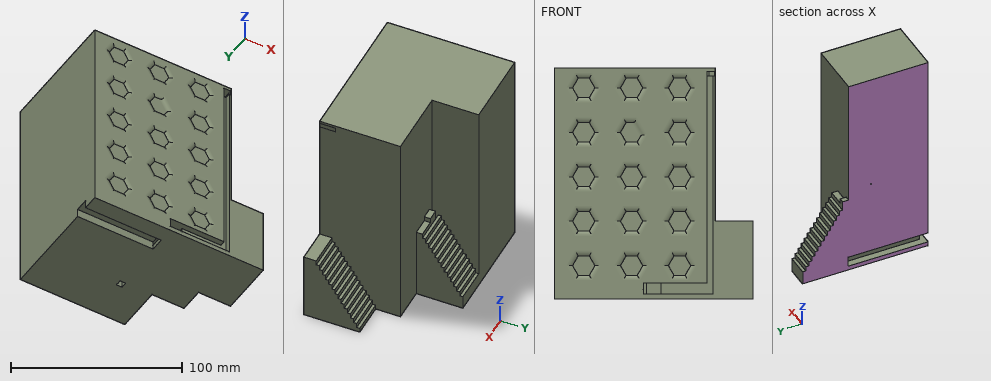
import cadquery as cq
import math

HEIGHT = 135.0
DEPTH = 82.0
BLOCK_WIDTH = 94.0
REAR_ARM_WIDTH = 50.0
FRONT_ARM_DEPTH = 52.0

STAIR_WIDTH = 22.0
SIDE_TREADS = 14
REAR_TREADS = 13
COMBINED_RUN = 54.0
TREAD = COMBINED_RUN / (SIDE_TREADS + REAR_TREADS)
SIDE_STAIR_DEPTH = 36.0
SIDE_LANDING_DEPTH = SIDE_STAIR_DEPTH - SIDE_TREADS * TREAD
LANDING_HEIGHT = 45.6
RISER = LANDING_HEIGHT / (SIDE_TREADS + 1)

REAR_LANDING_INNER_X = 53.7
REAR_LANDING_STEP_X = 60.9

HEX_COLUMNS = 3
HEX_ROWS = 5
HEX_PITCH_X = 28.0
HEX_PITCH_Z = 25.9
HEX_FIRST_X = 17.1
HEX_FIRST_Z = 19.6
HEX_SIDES = 6
HEX_RADIUS = 10.0
HEX_APOTHEM = HEX_RADIUS * math.cos(math.pi / HEX_SIDES)
HEX_DEPTH = 1.0
WALL_RADIUS = 5.0
FIRST_WALL_ANGLE = 30
ODD_COLUMN = 1
ODD_ROW = 3
ODD_SIDE = 0
ODD_WALL_SHIFT = 1.5

GROOVE_DEPTH = 3.5
GROOVE_START_X = 52.0
GROOVE_INNER_X = 89.0
GROOVE_OUTER_X = 92.6
GROOVE_FLOOR = 3.1
GROOVE_CEILING = 9.3
GROOVE_TOP = 133.0

PASSAGE_END_X = 62.2

POCKET_FLOOR = 130.1
POCKET_STEP_X = 90.3
POCKET_END_X = 93.5
POCKET_DEPTH = 10.1
POCKET_DEEP_DEPTH = 18.9

CHANNEL_FRONT = 10.1
CHANNEL_BACK = 18.9
CHANNEL_HEIGHT = 5.7


def box(x0, x1, y0, y1, z0, z1):
    """Axis-aligned box between two opposite corners."""
    size = cq.Workplane("XY").box(x1 - x0, y1 - y0, z1 - z0, centered=False)
    return size.translate((x0, y0, z0))


def main_block():
    rear_arm = box(0, REAR_ARM_WIDTH, 0, DEPTH, 0, HEIGHT)
    front_arm = box(0, BLOCK_WIDTH, 0, FRONT_ARM_DEPTH, 0, HEIGHT)
    return rear_arm.union(front_arm)


def flight(x, y, top, treads):
    """Solid stair whose highest tread starts at (x, y) at height top."""
    outline = cq.Workplane("YZ", origin=(x, y, 0)).lineTo(0, top)
    for _ in range(treads - 1):
        outline = outline.line(TREAD, 0).line(0, -RISER)
    return outline.line(TREAD, 0).lineTo(treads * TREAD, 0).close().extrude(STAIR_WIDTH)


def side_stair():
    outer_x = BLOCK_WIDTH + STAIR_WIDTH
    landing = box(BLOCK_WIDTH, outer_x, 0, SIDE_LANDING_DEPTH, 0, LANDING_HEIGHT)
    steps = flight(BLOCK_WIDTH, SIDE_LANDING_DEPTH, LANDING_HEIGHT - RISER, SIDE_TREADS)
    return landing.union(steps)


def rear_stair():
    outer_x = REAR_ARM_WIDTH + STAIR_WIDTH
    flight_start = DEPTH - REAR_TREADS * TREAD
    steps = flight(REAR_ARM_WIDTH, flight_start, LANDING_HEIGHT, REAR_TREADS)
    outer_top = LANDING_HEIGHT + RISER
    inner_top = outer_top + RISER
    outer = box(REAR_LANDING_STEP_X, outer_x, FRONT_ARM_DEPTH, flight_start, 0, outer_top)
    inner = box(REAR_LANDING_INNER_X, REAR_LANDING_STEP_X, FRONT_ARM_DEPTH, flight_start, 0, inner_top)
    return steps.union(outer).union(inner)


def arc_points(rise):
    """Middle and end (run, rise) of a wall arc that starts tangent to the front face."""
    end_angle = math.acos(1 - rise / WALL_RADIUS)
    return [
        (WALL_RADIUS * math.sin(angle), WALL_RADIUS * (1 - math.cos(angle)))
        for angle in (end_angle / 2, end_angle)
    ]


def space_inside_wall(angle, apothem, blended):
    """Open space on the inner side of one recess wall, as a prism along that wall.

    The wall rolls over from the front face; a blended wall also rolls into the floor.
    """
    convex_rise = HEX_DEPTH / 2 if blended else HEX_DEPTH
    (mid_run, mid_rise), (end_run, end_rise) = arc_points(convex_rise)
    profile = (
        cq.Workplane("XY")
        .moveTo(apothem, 0)
        .threePointArc((apothem - mid_run, mid_rise), (apothem - end_run, end_rise))
    )
    if blended:
        floor_edge = apothem - 2 * end_run
        lower_mid = (floor_edge + mid_run, HEX_DEPTH - mid_rise)
        profile = profile.threePointArc(lower_mid, (floor_edge, HEX_DEPTH))
    reach = 2 * HEX_APOTHEM
    space = profile.lineTo(-reach, HEX_DEPTH).lineTo(-reach, 0).close().extrude(reach, both=True)
    return space.rotate((0, 0, 0), (0, 1, 0), -angle)


def hex_recess(odd):
    """Recess volume centred on the origin, its floor toward +Y."""
    recess = None
    for side in range(HEX_SIDES):
        angle = FIRST_WALL_ANGLE + side * 360 / HEX_SIDES
        moved = odd and side == ODD_SIDE
        apothem = HEX_APOTHEM - ODD_WALL_SHIFT if moved else HEX_APOTHEM
        space = space_inside_wall(angle, apothem, moved)
        recess = space if recess is None else recess.intersect(space)
    return recess


def hex_grid():
    regular = hex_recess(False)
    grid = cq.Workplane("XY")
    for column in range(HEX_COLUMNS):
        for row in range(HEX_ROWS):
            odd = (column, row) == (ODD_COLUMN, ODD_ROW)
            recess = hex_recess(True) if odd else regular
            x = HEX_FIRST_X + column * HEX_PITCH_X
            z = HEX_FIRST_Z + row * HEX_PITCH_Z
            grid = grid.add(recess.translate((x, 0, z)))
    return grid.combine()


def groove():
    lower_leg = box(GROOVE_START_X, GROOVE_OUTER_X, 0, GROOVE_DEPTH, GROOVE_FLOOR, GROOVE_CEILING)
    upright_leg = box(GROOVE_INNER_X, GROOVE_OUTER_X, 0, GROOVE_DEPTH, GROOVE_FLOOR, GROOVE_TOP)
    return lower_leg.union(upright_leg)


def upper_pocket():
    pocket = box(GROOVE_INNER_X, POCKET_END_X, 0, POCKET_DEPTH, POCKET_FLOOR, GROOVE_TOP)
    deep_part = box(GROOVE_INNER_X, POCKET_STEP_X, 0, POCKET_DEEP_DEPTH, POCKET_FLOOR, GROOVE_TOP)
    return pocket.union(deep_part)


def lower_passage():
    return box(GROOVE_START_X, PASSAGE_END_X, 0, FRONT_ARM_DEPTH, GROOVE_FLOOR, GROOVE_CEILING)


def underside_channel():
    return box(0, GROOVE_START_X, CHANNEL_FRONT, CHANNEL_BACK, 0, CHANNEL_HEIGHT)


block = main_block().cut(lower_passage()).cut(underside_channel())
block = block.cut(groove()).cut(upper_pocket()).cut(hex_grid())
result = block.union(side_stair()).union(rear_stair())